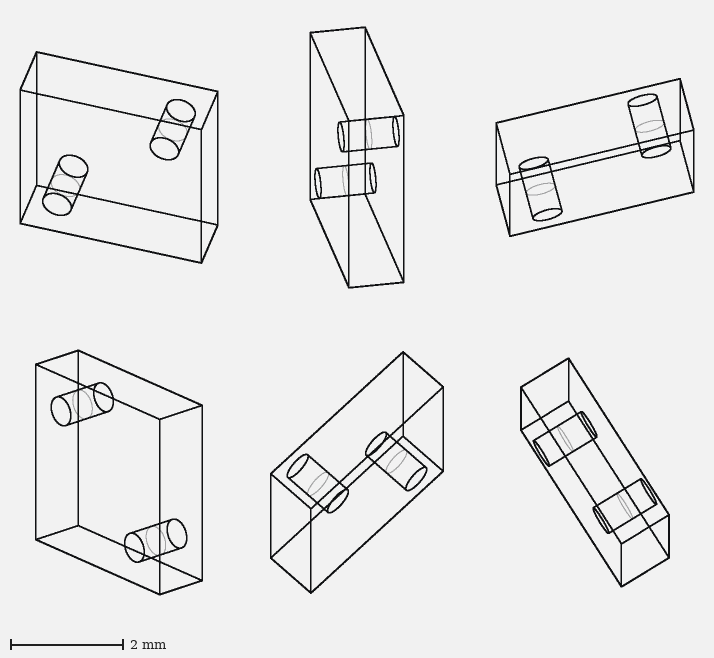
import cadquery as cq

plate_side = 3.38
plate_thickness = 1.0

hole_diameter = 0.535
hole_offset = 1.0

hole_centers = [(side * hole_offset, side * hole_offset) for side in (-1, 1)]

plate = cq.Workplane("XZ").rect(plate_side, plate_side).extrude(plate_thickness / 2, both=True)

holes = (
    cq.Workplane("XZ")
    .pushPoints(hole_centers)
    .circle(hole_diameter / 2)
    .extrude(plate_thickness, both=True)
)

result = plate.cut(holes)